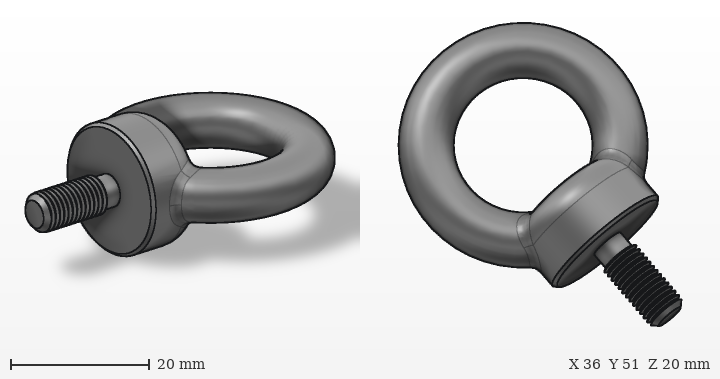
import cadquery as cq

total_length = 51.0
ring_outer_radius = 18.0
bar_diameter = 8.0
collar_diameter = 20.0
collar_height = 10.0
collar_top_fillet = 4.0
collar_edge_chamfer = 0.5
blend_radius = 2.0
stud_length = 14.0
thread_diameter = 6.0
neck_diameter = 5.0
neck_length = 2.5
ridge_count = 14
ridged_length = 11.2
thread_tip_chamfer = 0.9
crest_fraction = 1 / 8
root_fraction = 1 / 4

thread_pitch = ridged_length / ridge_count
bar_radius = bar_diameter / 2
ring_radius = ring_outer_radius - bar_radius
tip_y = ring_outer_radius - total_length
seat_y = tip_y + stud_length


def make_ring():
    ring = cq.Workplane(cq.Solid.makeTorus(ring_radius, bar_radius))
    return ring.rotate((0, 0, 0), (0, 0, 1), -90)


def rod_along_y(diameter, start_y, length):
    """Round rod on the Y axis, growing from start_y toward +Y."""
    plane = cq.Plane(origin=(0, start_y, 0), xDir=(1, 0, 0), normal=(0, 1, 0))
    return cq.Workplane(plane).circle(diameter / 2).extrude(length)


def make_collar():
    collar = rod_along_y(collar_diameter, seat_y, collar_height)
    collar = collar.faces(">Y").edges().fillet(collar_top_fillet)
    return collar.faces("<Y").edges().chamfer(collar_edge_chamfer)


def make_eye():
    """Ring and collar joined, with a blend where each arm of the ring enters the collar."""
    collar = make_collar()
    ring = make_ring()
    eye = collar.union(ring)
    seams = collar.intersect(ring).edges()
    joint_edges = [
        edge for edge in eye.edges().vals()
        if any((edge.Center() - seam.Center()).Length < 0.005 for seam in seams.vals())
    ]
    return eye.newObject(joint_edges).fillet(blend_radius)


def make_stud():
    """Plain neck, then a stack of ring-shaped thread ridges trimmed by the tip chamfer."""
    crest_radius = thread_diameter / 2
    root_radius = neck_diameter / 2
    half_crest = crest_fraction * thread_pitch / 2
    half_foot = (1 - root_fraction) * thread_pitch / 2
    thread_start = seat_y - neck_length

    overlap = collar_height / 2
    outline = [(0, seat_y + overlap), (root_radius, seat_y + overlap)]
    for index in range(ridge_count):
        ridge_y = thread_start - (index + 0.5) * thread_pitch
        outline += [
            (root_radius, ridge_y + half_foot),
            (crest_radius, ridge_y + half_crest),
            (crest_radius, ridge_y - half_crest),
            (root_radius, ridge_y - half_foot),
        ]
    outline[-2:] = [(crest_radius, tip_y), (0, tip_y)]
    threaded = cq.Workplane("XY").polyline(outline).close().revolve(360, (0, 0, 0), (0, 1, 0))

    envelope = rod_along_y(thread_diameter, tip_y, stud_length + overlap)
    envelope = envelope.faces("<Y").edges().chamfer(thread_tip_chamfer)
    return threaded.intersect(envelope)


result = make_eye().union(make_stud())